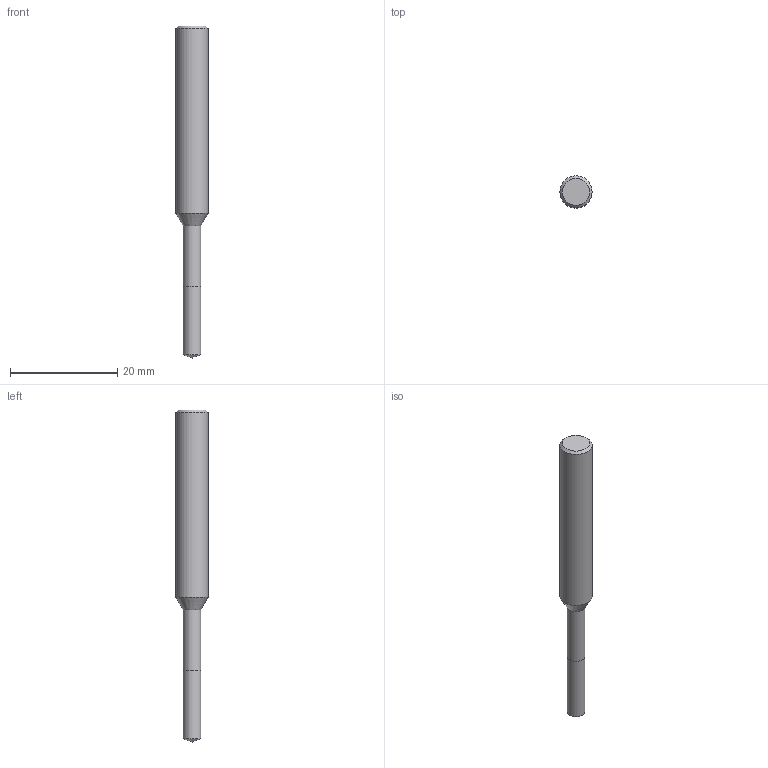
import cadquery as cq
import math

overall_length = 62.0
shank_diameter = 6.0
shank_length = 35.0
shank_chamfer = 0.45
cutting_diameter = 3.3
cutting_length = 13.3
point_angle = 140.0
shoulder_angle = 60.0

shank_radius = shank_diameter / 2
cutting_radius = cutting_diameter / 2
point_height = cutting_radius / math.tan(math.radians(point_angle / 2))
shoulder_height = (shank_radius - cutting_radius) / math.tan(math.radians(shoulder_angle / 2))
shoulder_top = overall_length - shank_length
neck_top = shoulder_top - shoulder_height


def make_holder():
    """Chamfered shank, conical shoulder and slim neck, turned as one solid."""
    half_profile = (
        cq.Workplane("YZ")
        .moveTo(0, cutting_length)
        .lineTo(-cutting_radius, cutting_length)
        .lineTo(-cutting_radius, neck_top)
        .lineTo(-shank_radius, shoulder_top)
        .lineTo(-shank_radius, overall_length - shank_chamfer)
        .lineTo(-shank_radius + shank_chamfer, overall_length)
        .lineTo(0, overall_length)
        .close()
    )
    return half_profile.revolve(360, (0, 0, 0), (0, 1, 0))


def make_cutting_head():
    """Cylindrical cutting head with a conical point, butted against the neck."""
    half_profile = (
        cq.Workplane("XZ")
        .moveTo(0, 0)
        .lineTo(-cutting_radius, point_height)
        .lineTo(-cutting_radius, cutting_length)
        .lineTo(0, cutting_length)
        .close()
    )
    return half_profile.revolve(360, (0, 0, 0), (0, 1, 0))


holder = make_holder()
cutting_head = make_cutting_head()

result = cq.Compound.makeCompound([holder.val(), cutting_head.val()])